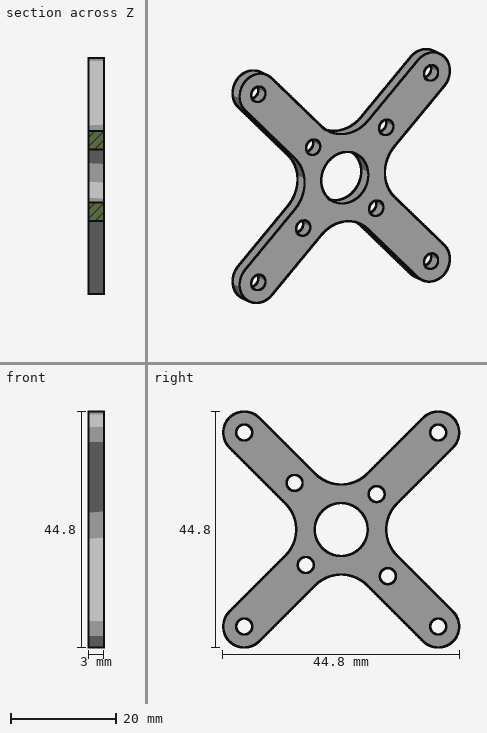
import cadquery as cq
import math

thickness = 3.0
arm_width = 8.0
arm_tip_radius = arm_width / 2
inner_corner_radius = 7.0

bore_diameter = 10.0
screw_hole_diameter = 3.0
tip_hole_spacing = 52.0
wide_motor_spacing = 25.0
narrow_motor_spacing = 19.0

rising_diagonal = 45.0
falling_diagonal = 135.0


def opposite_points(spacing, angle):
    """Two (Y, Z) points on a diagonal, the given spacing apart and centred on the bore."""
    y = spacing / 2 * math.cos(math.radians(angle))
    z = spacing / 2 * math.sin(math.radians(angle))
    return [(y, z), (-y, -z)]


def arm_pair(angle):
    """Round-ended bar through the centre, forming two opposite arms."""
    length = tip_hole_spacing + 2 * arm_tip_radius
    bar = cq.Workplane("YZ").slot2D(length, arm_width, angle)
    return bar.extrude(thickness / 2, both=True)


def cross_plate():
    """Two crossed bars with the four inner corners between the arms rounded."""
    cross = arm_pair(rising_diagonal).union(arm_pair(falling_diagonal))
    central_box = cq.selectors.BoxSelector(
        (-thickness, -arm_width, -arm_width),
        (thickness, arm_width, arm_width),
    )
    return cross.edges("|X").edges(central_box).fillet(inner_corner_radius)


def through_holes(points, diameter):
    """Cylinders along X that cut fully through the plate."""
    circles = cq.Workplane("YZ").pushPoints(points).circle(diameter / 2)
    return circles.extrude(thickness, both=True)


screw_points = (
    opposite_points(narrow_motor_spacing, rising_diagonal)
    + opposite_points(wide_motor_spacing, falling_diagonal)
    + opposite_points(tip_hole_spacing, rising_diagonal)
    + opposite_points(tip_hole_spacing, falling_diagonal)
)

result = (
    cross_plate()
    .cut(through_holes([(0, 0)], bore_diameter))
    .cut(through_holes(screw_points, screw_hole_diameter))
)